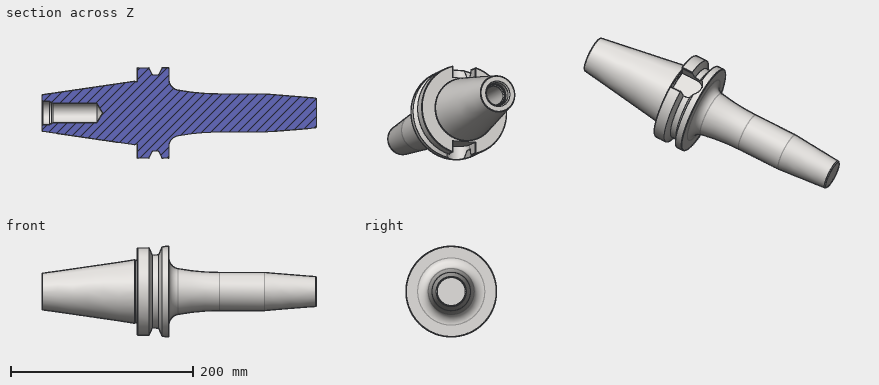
import cadquery as cq
import math

total_length = 301.8

taper_slope = 7 / 24 / 2
taper_end_x = 101.7
taper_large_radius = 35.0
taper_chamfer = 0.5
taper_small_radius = taper_large_radius - taper_end_x * taper_slope
relief_radius = 34.5
relief_start_x = 103.0

flange_start_x = 104.7
flange_end_x = 139.7
flange_diameter = 100.0
flange_radius = flange_diameter / 2
flange_chamfer = 0.5
groove_start_x = 117.7
groove_end_x = 132.0
groove_floor_radius = 42.3
groove_flank_run = 3.5

blend_radius = 11.8
neck_end_x = 195.0
neck_arc_radius = 250.5
shank_radius = 21.0
shank_end_x = 244.8
nose_radius = 16.5
nose_chamfer = 1.2

slot_width = 25.7
slot_floor_z = 35.3
slot_end_x = 136.5
slot_chamfer = 1.0

pilot_radius = 12.7
pilot_depth = 8.5
mouth_chamfer = 1.5
thread_entry_radius = 11.8
thread_entry_end_x = 11.0
thread_radius = 10.5
thread_end_x = 60.5
tip_half_angle = math.radians(59)


def revolve_about_x(profile):
    """Revolve an (x, radius) profile about the X axis."""
    return profile.close().revolve(360, (0, 0, 0), (1, 0, 0))


def make_body():
    neck_centre_r = shank_radius + neck_arc_radius
    blend_centre_x = flange_end_x + blend_radius
    centre_gap_x = neck_end_x - blend_centre_x
    centre_distance = neck_arc_radius - blend_radius
    blend_centre_r = neck_centre_r - math.sqrt(centre_distance**2 - centre_gap_x**2)
    neck_angle = math.asin(centre_gap_x / centre_distance)

    def arc_point(centre_x, centre_r, radius, angle):
        return (centre_x - radius * math.sin(angle), centre_r - radius * math.cos(angle))

    blend_middle_angle = (math.pi / 2 + neck_angle) / 2
    blend_middle = arc_point(blend_centre_x, blend_centre_r, blend_radius, blend_middle_angle)
    blend_end = arc_point(blend_centre_x, blend_centre_r, blend_radius, neck_angle)
    neck_middle = arc_point(neck_end_x, neck_centre_r, neck_arc_radius, neck_angle / 2)

    profile = (
        cq.Workplane("XY")
        .moveTo(0, 0)
        .lineTo(0, taper_small_radius - taper_chamfer)
        .lineTo(taper_chamfer, taper_small_radius + taper_chamfer * taper_slope)
        .lineTo(taper_end_x, taper_large_radius)
        .lineTo(relief_start_x, relief_radius)
        .lineTo(flange_start_x, relief_radius)
        .lineTo(flange_start_x, flange_radius - flange_chamfer)
        .lineTo(flange_start_x + flange_chamfer, flange_radius)
        .lineTo(groove_start_x, flange_radius)
        .lineTo(groove_start_x + groove_flank_run, groove_floor_radius)
        .lineTo(groove_end_x - groove_flank_run, groove_floor_radius)
        .lineTo(groove_end_x, flange_radius)
        .lineTo(flange_end_x - flange_chamfer, flange_radius)
        .lineTo(flange_end_x, flange_radius - flange_chamfer)
        .lineTo(flange_end_x, blend_centre_r)
        .threePointArc(blend_middle, blend_end)
        .threePointArc(neck_middle, (neck_end_x, shank_radius))
        .lineTo(shank_end_x, shank_radius)
        .lineTo(total_length - nose_chamfer, nose_radius)
        .lineTo(total_length, nose_radius - nose_chamfer)
        .lineTo(total_length, 0)
    )
    return revolve_about_x(profile)


def make_bore():
    tip_x = thread_end_x + thread_radius / math.tan(tip_half_angle)
    profile = (
        cq.Workplane("XY")
        .moveTo(0, 0)
        .lineTo(0, pilot_radius + mouth_chamfer)
        .lineTo(mouth_chamfer, pilot_radius)
        .lineTo(pilot_depth, pilot_radius)
        .lineTo(pilot_depth, thread_entry_radius)
        .lineTo(thread_entry_end_x, thread_entry_radius)
        .lineTo(thread_entry_end_x + thread_entry_radius - thread_radius, thread_radius)
        .lineTo(thread_end_x, thread_radius)
        .lineTo(tip_x, 0)
    )
    return revolve_about_x(profile)


def make_slot():
    """Round-ended drive slot on the +Z edge of the flange, with chamfered mouth edges."""
    half_width = slot_width / 2
    flared_half_width = half_width + slot_chamfer
    arc_start_x = slot_end_x - half_width
    chamfer_end_x = flange_start_x + slot_chamfer
    slot = (
        cq.Workplane("XY", origin=(0, 0, slot_floor_z))
        .moveTo(flange_start_x, -flared_half_width)
        .lineTo(chamfer_end_x, -half_width)
        .lineTo(arc_start_x, -half_width)
        .threePointArc((slot_end_x, 0), (arc_start_x, half_width))
        .lineTo(chamfer_end_x, half_width)
        .lineTo(flange_start_x, flared_half_width)
        .close()
        .extrude(flange_radius - slot_floor_z)
    )
    rim_z = math.sqrt(flange_radius**2 - flared_half_width**2)
    flare_bottom_z = rim_z - slot_chamfer
    rim_flare = (
        cq.Workplane("YZ", origin=(flange_start_x, 0, 0))
        .moveTo(-half_width, flare_bottom_z)
        .lineTo(half_width, flare_bottom_z)
        .lineTo(flared_half_width, rim_z)
        .lineTo(flared_half_width, flange_radius)
        .lineTo(-flared_half_width, flange_radius)
        .lineTo(-flared_half_width, rim_z)
        .close()
        .extrude(groove_start_x - flange_start_x)
    )
    return slot.union(rim_flare)


result = make_body().cut(make_bore())
for angle in (0, 180):
    result = result.cut(make_slot().rotate((0, 0, 0), (1, 0, 0), angle))